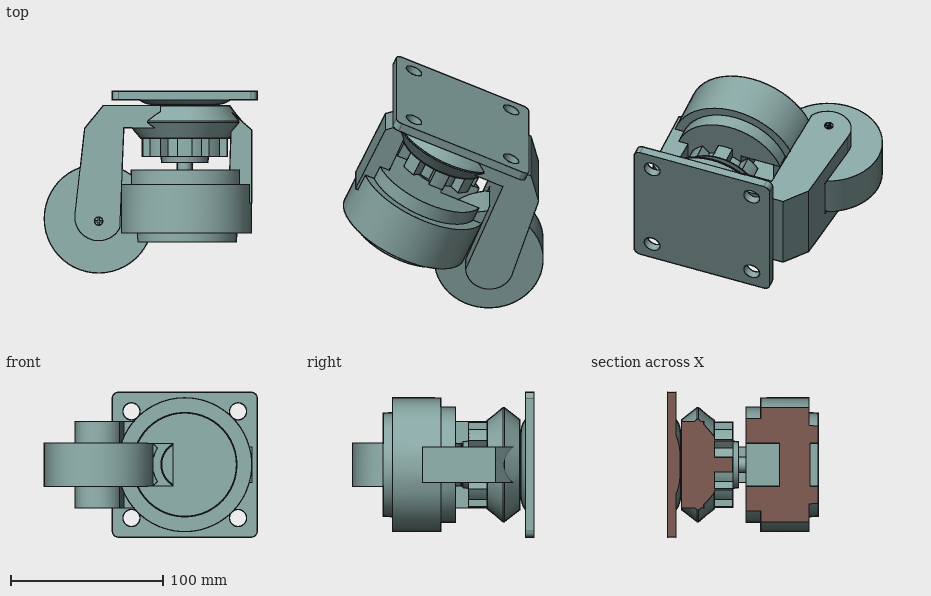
import cadquery as cq


plate_size = 95.3
plate_thickness = 5.7
plate_corner_radius = 4.2
plate_hole_diameter = 11.0
plate_hole_spacing = 70.0

neck_diameter = 42.1
dome_base_radius = 29.7
dome_bottom = -8.7

housing_top = -9.2
housing_top_radius = 29.8
housing_lip = 0.4
ridge_top = -19.6
ridge_bottom = -20.5
ridge_radius = 37.5
housing_bottom = -31.0
housing_bottom_radius = 29.2

knob_bottom = -43.0
knob_radius = 28.0
knob_root_radius = neck_diameter / 2
tooth_count = 8
tooth_width = 9.8
hub_bottom = -46.9
hub_top_radius = 15.7
hub_bottom_radius = 15.1
stem_diameter = 10.0

foot_top = -51.6
foot_top_radius = 37.9
tread_top = -61.3
tread_radius = 44.0
tread_bottom = -93.0
pad_top_radius = 34.3
pad_bottom_radius = 33.9
pad_bottom = -99.1

overall_length = 139.9
overall_depth = 119.4
wheel_diameter = 71.5
wheel_width = 28.7
wheel_radius = wheel_diameter / 2
wheel_x = plate_size / 2 - overall_length + wheel_radius
wheel_y = wheel_radius - overall_depth

fork_width = 57.0
fork_end_x = -16.0
fork_shoulder = (-53.5, housing_top)
fork_elbow = (-65.8, -24.3)
fork_inner_corner = (-39.9, -24.0)
fork_tip_start = (-71.9, -79.5)
fork_tip_end = (-42.7, -89.8)
fork_bottom = -98.1

well_width = 28.0
well_top = -47.6
well_end_x = -7.8

screw_y = -85.2
screw_diameter = 5.5
screw_sink = 0.4
cross_width = 0.91
cross_depth = 0.8

arm_width = 23.5
arm_outer_x = 44.1
arm_shoulder_y = -25.5
arm_bottom = -73.2
arm_start = (26.9, -10.4)
arm_inner_top = (30.4, -24.0)
arm_inner_bottom_x = 28.7


def turned(points):
    """Solid of revolution about the swivel axis from (radius, y) corners."""
    return cq.Workplane("XY").polyline(points).close().revolve(360, (0, 0), (0, 1))


def disc(radius, top, bottom):
    return turned([(0, top), (radius, top), (radius, bottom), (0, bottom)])


def mid_slab(thickness):
    """Workplane on the lower face of a slab centred on Z = 0."""
    return cq.Workplane("XY", origin=(0, 0, -thickness / 2))


def mounting_plate():
    return (
        cq.Workplane("XZ")
        .rect(plate_size, plate_size)
        .extrude(plate_thickness)
        .edges("|Y")
        .fillet(plate_corner_radius)
        .faces("<Y")
        .workplane(origin=(0, 0, 0))
        .rect(plate_hole_spacing, plate_hole_spacing, forConstruction=True)
        .vertices()
        .hole(plate_hole_diameter)
    )


def domed_neck():
    neck_radius = neck_diameter / 2
    dome = (
        cq.Workplane("XY")
        .moveTo(0, -plate_thickness)
        .lineTo(0, dome_bottom)
        .lineTo(neck_radius, dome_bottom)
        .tangentArcPoint((dome_base_radius, -plate_thickness), relative=False)
        .close()
        .revolve(360, (0, 0), (0, 1))
    )
    return dome.union(disc(neck_radius, -plate_thickness, housing_top))


def swivel_housing():
    return turned([
        (0, housing_top),
        (housing_top_radius, housing_top),
        (housing_top_radius, housing_top - housing_lip),
        (ridge_radius, ridge_top),
        (ridge_radius, ridge_bottom),
        (housing_bottom_radius, housing_bottom + housing_lip),
        (housing_bottom_radius, housing_bottom),
        (0, housing_bottom),
    ])


def adjusting_knob():
    height = housing_bottom - knob_bottom
    spoke = cq.Workplane("XY").box(2 * knob_radius, height, tooth_width)
    spoke = spoke.translate((0, (housing_bottom + knob_bottom) / 2, 0))
    spokes = disc(knob_root_radius, housing_bottom, knob_bottom)
    for i in range(tooth_count // 2):
        spokes = spokes.union(spoke.rotate((0, 0, 0), (0, 1, 0), i * 360 / tooth_count))
    knob = spokes.intersect(disc(knob_radius, housing_bottom, knob_bottom))
    hub = turned([
        (0, knob_bottom),
        (hub_top_radius, knob_bottom),
        (hub_bottom_radius, hub_bottom),
        (0, hub_bottom),
    ])
    stem = disc(stem_diameter / 2, hub_bottom, foot_top)
    return knob.union(hub).union(stem)


def levelling_foot():
    return turned([
        (0, foot_top),
        (foot_top_radius, foot_top),
        (foot_top_radius, tread_top),
        (tread_radius, tread_top),
        (tread_radius, tread_bottom),
        (pad_top_radius, tread_bottom),
        (pad_bottom_radius, pad_bottom),
        (0, pad_bottom),
    ])


def fork():
    return (
        mid_slab(fork_width)
        .moveTo(fork_end_x, housing_top)
        .lineTo(*fork_shoulder)
        .lineTo(*fork_elbow)
        .lineTo(*fork_tip_start)
        .threePointArc((wheel_x, fork_bottom), fork_tip_end)
        .lineTo(*fork_inner_corner)
        .lineTo(fork_end_x, fork_inner_corner[1])
        .close()
        .extrude(fork_width)
    )


def side_arm():
    return (
        mid_slab(arm_width)
        .polyline([
            arm_start,
            (arm_outer_x, arm_shoulder_y),
            (arm_outer_x, arm_bottom),
            (arm_inner_bottom_x, arm_bottom),
            arm_inner_top,
        ])
        .close()
        .extrude(arm_width)
    )


def wheel_well():
    length = well_end_x - wheel_x + wheel_radius
    depth = well_top + overall_depth
    return (
        cq.Workplane("XY")
        .box(length, depth, well_width)
        .translate((well_end_x - length / 2, well_top - depth / 2, 0))
    )


def wheel():
    return (
        mid_slab(wheel_width)
        .center(wheel_x, wheel_y)
        .circle(wheel_radius)
        .extrude(wheel_width)
    )


def screw_recess():
    """Shallow round seat with a deeper cross slot, cut into the +Z fork face."""
    seat_floor = fork_width / 2 - screw_sink
    seat = (
        cq.Workplane("XY", origin=(wheel_x, screw_y, seat_floor))
        .circle(screw_diameter / 2)
        .extrude(screw_sink)
    )
    cross = (
        cq.Workplane("XY", origin=(wheel_x, screw_y, seat_floor))
        .rect(screw_diameter, cross_width)
        .extrude(-cross_depth)
        .union(
            cq.Workplane("XY", origin=(wheel_x, screw_y, seat_floor))
            .rect(cross_width, screw_diameter)
            .extrude(-cross_depth)
        )
    )
    return seat.union(cross)


result = (
    mounting_plate()
    .union(domed_neck())
    .union(swivel_housing())
    .union(adjusting_knob())
    .union(levelling_foot())
    .union(fork())
    .union(side_arm())
    .cut(wheel_well())
    .union(wheel())
    .cut(screw_recess())
)